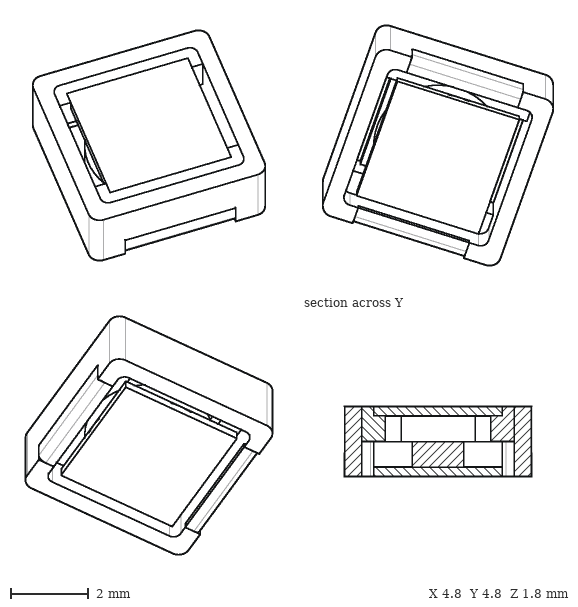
import cadquery as cq
import math


frame_side = 4.8
height = 1.8
frame_corner_radius = 0.3
opening_side = 3.9
opening_corner_radius = 0.21

flange_side = 3.3
flange_thickness = 0.25
post_diameter = 1.9
post_height = height - 2 * flange_thickness

winding_diameter = flange_side
winding_top = height / 2
winding_height = winding_top - flange_thickness

filler_gap = 2.7
filler_height = height - winding_top

terminal_width = 3.01
terminal_height = 0.6
terminal_thickness = 0.15
bend_inner_diameter = 0.1
bend_inner_radius = bend_inner_diameter / 2
bend_outer_radius = bend_inner_radius + terminal_thickness
terminal_foot = (frame_side - opening_side) / 2

side_angles = (0, 180)


def square_block(side, bottom, thickness):
    """Square block centred on the Z axis, starting at the given height."""
    return cq.Workplane("XY", origin=(0, 0, bottom)).rect(side, side).extrude(thickness)


def rounded_block(side, corner_radius, bottom, thickness):
    """Square block with rounded upright corners."""
    return square_block(side, bottom, thickness).edges("|Z").fillet(corner_radius)


def make_terminal():
    """L-shaped clip on the -X side: an upright leg, a bend and a foot turned inward."""
    outer_x = -frame_side / 2
    inner_x = outer_x + terminal_thickness
    foot_end_x = outer_x + terminal_foot
    arc_middle = math.cos(math.radians(45))
    bend_x = outer_x + bend_outer_radius
    bend_z = bend_outer_radius
    outer_middle = (bend_x - bend_outer_radius * arc_middle, bend_z - bend_outer_radius * arc_middle)
    inner_middle = (bend_x - bend_inner_radius * arc_middle, bend_z - bend_inner_radius * arc_middle)
    return (
        cq.Workplane("XZ")
        .moveTo(outer_x, terminal_height)
        .lineTo(outer_x, bend_z)
        .threePointArc(outer_middle, (bend_x, 0))
        .lineTo(foot_end_x, 0)
        .lineTo(foot_end_x, terminal_thickness)
        .lineTo(bend_x, terminal_thickness)
        .threePointArc(inner_middle, (inner_x, bend_z))
        .lineTo(inner_x, terminal_height)
        .close()
        .extrude(terminal_width / 2, both=True)
    )


def make_terminal_notch():
    """Space that a -X terminal takes from the frame, open around the outside of the bend."""
    bend_corner = (
        cq.Workplane("XY", origin=(-frame_side / 2, 0, 0))
        .box(bend_outer_radius, terminal_width, bend_outer_radius, centered=(False, True, False))
    )
    bend_inside = (
        cq.Workplane("XZ", origin=(-frame_side / 2 + bend_outer_radius, 0, bend_outer_radius))
        .circle(bend_inner_radius)
        .extrude(terminal_width / 2, both=True)
    )
    return make_terminal().union(bend_corner.cut(bend_inside))


def make_frame():
    """Rounded square ring with a notch for the terminal on each X side."""
    ring = rounded_block(frame_side, frame_corner_radius, 0, height)
    ring = ring.cut(rounded_block(opening_side, opening_corner_radius, 0, height))
    notch = make_terminal_notch()
    for angle in side_angles:
        ring = ring.cut(notch.rotate((0, 0, 0), (0, 0, 1), angle))
    return ring


def make_core():
    """Drum core: a round post between two square flanges."""
    lower_flange = square_block(flange_side, 0, flange_thickness)
    upper_flange = square_block(flange_side, height - flange_thickness, flange_thickness)
    post = (
        cq.Workplane("XY", origin=(0, 0, flange_thickness))
        .circle(post_diameter / 2)
        .extrude(post_height)
    )
    return lower_flange.union(post).union(upper_flange)


def make_winding():
    """Ring around the post."""
    return (
        cq.Workplane("XY", origin=(0, 0, flange_thickness))
        .circle(winding_diameter / 2)
        .circle(post_diameter / 2)
        .extrude(winding_height)
    )


def make_filler(core):
    """Block along the -X wall of the opening, recessed around the upper flange."""
    filler_depth = (opening_side - filler_gap) / 2
    strip = (
        cq.Workplane("XY", origin=(-opening_side / 2, 0, winding_top))
        .box(filler_depth, opening_side, filler_height, centered=(False, True, False))
        .edges("|Z and <X")
        .fillet(opening_corner_radius)
    )
    return strip.cut(core)


frame = make_frame()
core = make_core()
winding = make_winding()

filler = make_filler(core)
terminal = make_terminal()
fillers = []
terminals = []
for angle in side_angles:
    fillers.append(filler.rotate((0, 0, 0), (0, 0, 1), angle).val())
    terminals.append(terminal.rotate((0, 0, 0), (0, 0, 1), angle).val())

result = cq.Compound.makeCompound([frame.val(), core.val(), winding.val(), *fillers, *terminals])